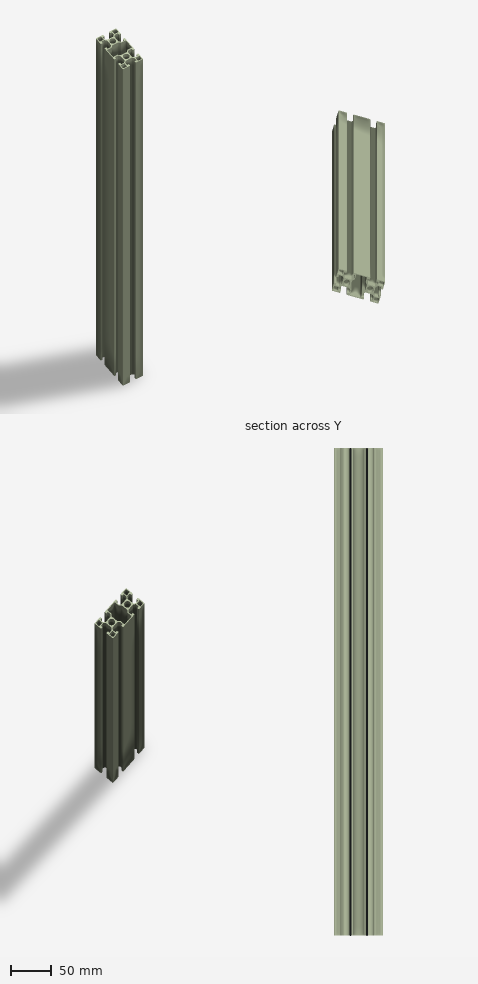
import cadquery as cq
length = 600.0
module = 30.0
half_module = module / 2
module_centres = (-half_module, half_module)

slot_half_opening = 4.15
slot_width = 14.0
lip_thickness = 2.8
floor_height = 5.5
web_offset = 0.9
edge_radius = 0.5
outer_wall = 1.0
slot_wall = 1.0
core_bore = 8.5
chamber_bevel = 1.0

half_width = slot_width / 2
chamber_near = half_width + slot_wall
chamber_far = half_module - outer_wall
cut_start = cq.Workplane("XY")


def prism(points):
    return cut_start.polyline(points).close().extrude(length)


def mirrored(half_outline):
    """Complete an outline that is symmetric about the Y axis."""
    return half_outline + [(-x, y) for x, y in reversed(half_outline)]


def t_slot():
    """T-slot open toward +Y, with rounded lips and a floor bevelled along the diagonal webs."""
    lip_underside = half_module - lip_thickness
    return (
        cut_start.moveTo(0, floor_height)
        .lineTo(floor_height - web_offset, floor_height)
        .lineTo(half_width, half_width + web_offset)
        .lineTo(half_width, lip_underside)
        .lineTo(slot_half_opening, lip_underside)
        .lineTo(slot_half_opening, half_module - edge_radius)
        .radiusArc((slot_half_opening + edge_radius, half_module), edge_radius)
        .lineTo(0, half_module)
        .mirrorY()
        .extrude(length)
    )


def corner_chamber():
    """Square hollow in the +X +Y corner, bevelled toward the outer corner."""
    bevel_start = chamber_far - chamber_bevel
    return prism([
        (chamber_near, chamber_near),
        (chamber_far, chamber_near),
        (chamber_far, bevel_start),
        (bevel_start, chamber_far),
        (chamber_near, chamber_far),
    ])


def middle_chamber():
    """Hollow between the two cores, following the webs and slot walls."""
    core_side = half_module - floor_height
    wall_side = half_module - chamber_near
    upper = mirrored([
        (core_side, floor_height - web_offset),
        (wall_side, chamber_near - web_offset),
        (wall_side, chamber_far),
    ])
    lower = [(x, -y) for x, y in reversed(upper)]
    return prism(upper + lower)


def rotated(body, angle):
    return body.rotate((0, 0, 0), (0, 0, 1), angle)


result = cq.Workplane("XY").rect(2 * module, module).extrude(length).edges("|Z").fillet(edge_radius)
result = result.cut(middle_chamber())

for centre in module_centres:
    outward = 0 if centre > 0 else 180

    for turn in (-180, -90, 0):
        result = result.cut(rotated(t_slot(), outward + turn).translate((centre, 0, 0)))

    for turn in (-90, 0):
        result = result.cut(rotated(corner_chamber(), outward + turn).translate((centre, 0, 0)))

    bore = cut_start.circle(core_bore / 2).extrude(length)
    result = result.cut(bore.translate((centre, 0, 0)))